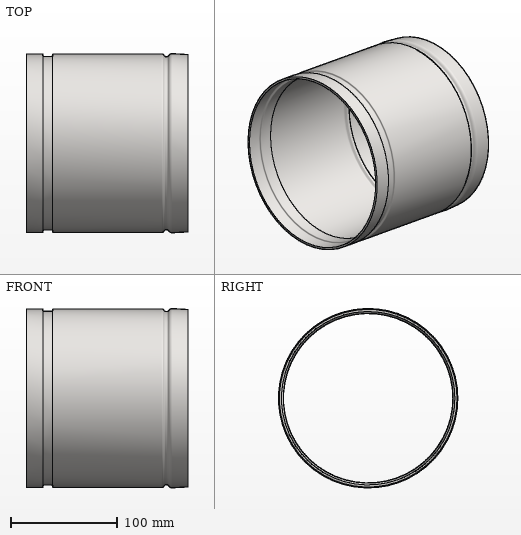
import cadquery as cq
import math

length = 152.4
body_radius = 84.1
wall = 2.0

groove_start = 15.7
groove_end = 24.8
groove_radius = 82.0
rib_radius = 80.0
rib_widening = 2.0
groove_fillet = 0.7

roll_start = 127.7
roll_floor_start = 131.0
roll_floor_end = 132.6
roll_radius = 81.69
down_crest_bend = 1.9
down_floor_bend = 0.8
up_floor_bend = 1.4
up_crest_bend = 3.9

bead_x = 137.4
bead_radius = 84.5
end_radius = 83.6


def add_bend(path, start, end, first_bend, second_bend):
    """Join two level stretches with an arc, a sloping line and an opposite arc, all tangent."""
    run = end[0] - start[0]
    rise = end[1] - start[1]
    direction = math.copysign(1, rise)
    bend_sum = first_bend + second_bend
    clearance = bend_sum - abs(rise)
    slope = math.asin(bend_sum / math.hypot(run, clearance)) - math.atan2(clearance, run)

    def first_arc(angle):
        return (
            start[0] + first_bend * math.sin(angle),
            start[1] + direction * first_bend * (1 - math.cos(angle)),
        )

    def second_arc(angle):
        return (
            end[0] - second_bend * math.sin(angle),
            end[1] - direction * second_bend * (1 - math.cos(angle)),
        )

    return (
        path.threePointArc(first_arc(slope / 2), first_arc(slope))
        .lineTo(*second_arc(slope))
        .threePointArc(second_arc(slope / 2), end)
    )


def revolved_tube(inset, groove_floor, groove_widening):
    """Full solid of revolution whose surface lies the given inset below the tube's outside."""
    body = body_radius - inset
    groove_left = groove_start - groove_widening
    groove_right = groove_end + groove_widening
    roll_floor = roll_radius - inset
    bead = (bead_x, bead_radius - inset)

    profile = (
        cq.Workplane("XY")
        .lineTo(0, body)
        .lineTo(groove_left, body)
        .lineTo(groove_left, groove_floor)
        .lineTo(groove_right, groove_floor)
        .lineTo(groove_right, body)
        .lineTo(roll_start, body)
    )
    profile = add_bend(
        profile, (roll_start, body), (roll_floor_start, roll_floor), down_crest_bend, down_floor_bend
    )
    profile = profile.lineTo(roll_floor_end, roll_floor)
    profile = add_bend(
        profile, (roll_floor_end, roll_floor), bead, up_floor_bend, up_crest_bend
    )
    profile = profile.lineTo(length, end_radius - inset).lineTo(length, 0).close()
    tube = profile.revolve(360, (0, 0, 0), (1, 0, 0))

    groove_zone = cq.selectors.BoxSelector(
        (groove_left - groove_fillet, -length, -length),
        (groove_right + groove_fillet, length, length),
    )
    return tube.edges(groove_zone).edges("%CIRCLE").fillet(groove_fillet)


outside = revolved_tube(0, groove_radius, 0)
bore = revolved_tube(wall, rib_radius, rib_widening)
result = outside.cut(bore)